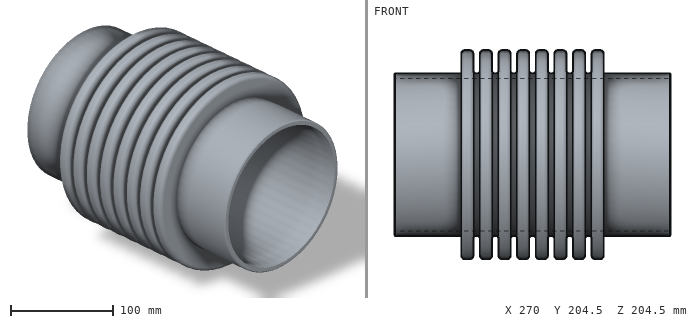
import cadquery as cq

length = 270.0
pipe_diameter = 159.0
bore_diameter = 149.0
end_chamfer = 1.0

ring_count = 8
bellows_length = 139.3
ring_width = 12.2
ring_diameter = 204.5
crest_radius = 4.0
root_radius = 2.2

ring_pitch = (bellows_length - ring_width) / (ring_count - 1)
gap_width = ring_pitch - ring_width
first_ring_x = -ring_pitch * (ring_count - 1) / 2


def disc(diameter, width, center_x):
    """Solid cylinder along X, centred at center_x."""
    start_x = center_x - width / 2
    return cq.Workplane("YZ").workplane(offset=start_x).circle(diameter / 2).extrude(width)


def ring(center_x):
    """Bellows ring with both crest edges rounded."""
    return disc(ring_diameter, ring_width, center_x).edges().fillet(crest_radius)


def root_fillets(center_x):
    """Material that rounds both bottom corners of the gap between two rings."""
    pipe_r = pipe_diameter / 2
    top_r = pipe_r + root_radius
    inner_r = bore_diameter / 2
    half_gap = gap_width / 2
    half_flat = half_gap - root_radius
    arc_drop = root_radius * (1 - 0.5 ** 0.5)
    arc_mid_x = half_gap - arc_drop
    arc_mid_r = pipe_r + arc_drop
    profile = (
        cq.Workplane("XY")
        .moveTo(center_x - half_gap, inner_r)
        .lineTo(center_x - half_gap, top_r)
        .threePointArc((center_x - arc_mid_x, arc_mid_r), (center_x - half_flat, pipe_r))
        .lineTo(center_x + half_flat, pipe_r)
        .threePointArc((center_x + arc_mid_x, arc_mid_r), (center_x + half_gap, top_r))
        .lineTo(center_x + half_gap, inner_r)
        .close()
    )
    return profile.revolve(360, (0, 0, 0), (1, 0, 0))


body = disc(pipe_diameter, length, 0).edges().chamfer(end_chamfer)

for index in range(ring_count):
    ring_x = first_ring_x + index * ring_pitch
    body = body.union(ring(ring_x))
    if index < ring_count - 1:
        body = body.union(root_fillets(ring_x + ring_pitch / 2))

result = body.cut(disc(bore_diameter, length, 0))